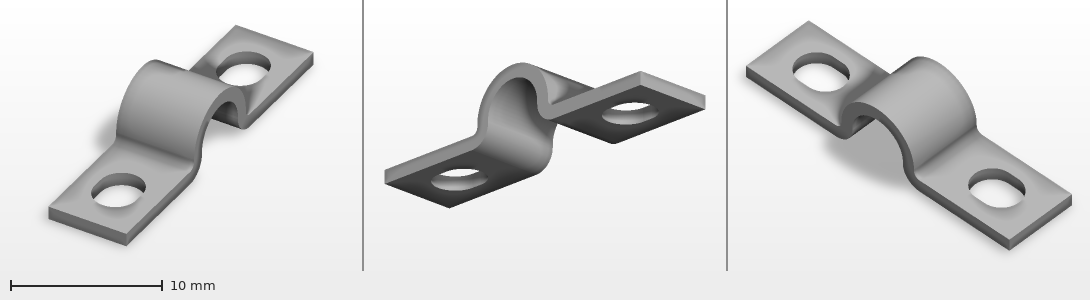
import cadquery as cq

width = 6.0
length = 24.0
height = 5.0
thickness = 1.0

saddle_outer_radius = 3.3
saddle_inner_radius = saddle_outer_radius - thickness
bend_inner_radius = 0.5
bend_outer_radius = bend_inner_radius + thickness

slot_width = 3.2
slot_length = 4.0
slot_spacing = 16.0

end_y = length / 2
bend_center_y = saddle_outer_radius + bend_inner_radius
bend_center_z = bend_outer_radius
saddle_center_z = height - saddle_outer_radius


def make_strap():
    """Bent strip: flat feet, bends, short upright legs and a half-round saddle."""
    return (
        cq.Workplane("YZ")
        .moveTo(-end_y, 0)
        .lineTo(-bend_center_y, 0)
        .radiusArc((-saddle_inner_radius, bend_center_z), -bend_outer_radius)
        .lineTo(-saddle_inner_radius, saddle_center_z)
        .threePointArc(
            (0, saddle_center_z + saddle_inner_radius),
            (saddle_inner_radius, saddle_center_z),
        )
        .lineTo(saddle_inner_radius, bend_center_z)
        .radiusArc((bend_center_y, 0), -bend_outer_radius)
        .lineTo(end_y, 0)
        .lineTo(end_y, thickness)
        .lineTo(bend_center_y, thickness)
        .radiusArc((saddle_outer_radius, bend_center_z), bend_inner_radius)
        .lineTo(saddle_outer_radius, saddle_center_z)
        .threePointArc((0, height), (-saddle_outer_radius, saddle_center_z))
        .lineTo(-saddle_outer_radius, bend_center_z)
        .radiusArc((-bend_center_y, thickness), bend_inner_radius)
        .lineTo(-end_y, thickness)
        .close()
        .extrude(width / 2, both=True)
    )


def make_slots():
    """Cutters for the round-ended slot through each foot."""
    return (
        cq.Workplane("XY")
        .pushPoints([(0, -slot_spacing / 2), (0, slot_spacing / 2)])
        .slot2D(slot_length, slot_width, 90)
        .extrude(thickness)
    )


result = make_strap().cut(make_slots())